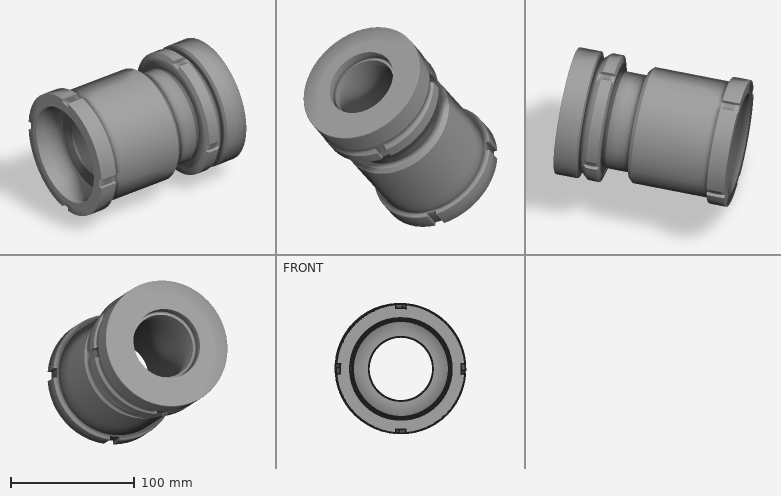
import cadquery as cq
import math

rim_radius = 52.5
thread_radius = 40.2
bore_radius = 26.0

flange_length = 15.0
flange_chamfer = 0.7
sleeve_radius = 48.0
sleeve_length = 82.0
sleeve_chamfer = 3.2
mouth_radius = 41.5
mouth_depth = 57.4

shank_start = 24.4
shank_end = 103.2
shank_chamfer = 1.3
groove_radius = 38.7
head_start = 104.7
head_face_radius = 48.0
head_bevel_length = 1.5
recess_radius = 46.0
recess_depth = 0.9
sphere_radius = 67.9
sphere_center = 72.5
sphere_edge = sphere_center + math.sqrt(sphere_radius**2 - rim_radius**2)
sphere_end = sphere_center + math.sqrt(sphere_radius**2 - bore_radius**2)

slot_count = 4
slot_width = 8.0
slot_depth = 3.3
head_turn = 6.0

washer_start = 123.1
washer_end = 142.9
washer_chamfer = 0.5
washer_bevel_width = 3.2
washer_bevel_length = 1.1
washer_bore_radius = 28.7
washer_tilt_x = 0.4
washer_tilt_z = 0.6


def revolve_about_y(profile):
    """Turn a closed half profile, given in X (radius) and Y, round the Y axis."""
    return profile.close().revolve(360, (0, 0, 0), (0, 1, 0))


def make_slots(start, end, turn):
    """Radial slot cutters around the rim, running from start to end along Y."""
    slots = cq.Workplane("XY")
    for index in range(slot_count):
        slot = (
            cq.Workplane("XY")
            .box(slot_width, end - start, 2 * slot_depth)
            .translate((0, (start + end) / 2, rim_radius))
            .rotate((0, 0, 0), (0, 1, 0), turn + index * 360 / slot_count)
        )
        slots = slots.add(slot)
    return slots.combine()


def make_sleeve():
    outline = [
        (mouth_radius, 0),
        (rim_radius, 0),
        (rim_radius, flange_length - flange_chamfer),
        (rim_radius - flange_chamfer, flange_length),
        (sleeve_radius, flange_length),
        (sleeve_radius, sleeve_length - sleeve_chamfer),
        (sleeve_radius - sleeve_chamfer, sleeve_length),
        (thread_radius, sleeve_length),
        (thread_radius, mouth_depth),
        (mouth_radius, mouth_depth),
    ]
    body = revolve_about_y(cq.Workplane("XY").polyline(outline))
    return body.cut(make_slots(0, flange_length, 0))


def make_spindle():
    mid_radius = (rim_radius + bore_radius) / 2
    mid_y = sphere_center + math.sqrt(sphere_radius**2 - mid_radius**2)
    outline = [
        (bore_radius, shank_start),
        (thread_radius - shank_chamfer, shank_start),
        (thread_radius, shank_start + shank_chamfer),
        (thread_radius, shank_end - shank_chamfer),
        (groove_radius, shank_end),
        (groove_radius, head_start + recess_depth),
        (recess_radius, head_start + recess_depth),
        (recess_radius, head_start),
        (head_face_radius, head_start),
        (rim_radius, head_start + head_bevel_length),
        (rim_radius, sphere_edge),
    ]
    profile = (
        cq.Workplane("XY")
        .polyline(outline)
        .threePointArc((mid_radius, mid_y), (bore_radius, sphere_end))
    )
    return revolve_about_y(profile).cut(make_slots(head_start, washer_start, head_turn))


def make_washer():
    outline = [
        (washer_bore_radius, washer_start),
        (rim_radius - washer_bevel_width, washer_start),
        (rim_radius, washer_start + washer_bevel_length),
        (rim_radius, washer_end - washer_chamfer),
        (rim_radius - washer_chamfer, washer_end),
        (washer_bore_radius, washer_end),
    ]
    seat_center = (0, sphere_center, 0)
    seat = cq.Workplane("XY").sphere(sphere_radius).translate(seat_center)
    ring = revolve_about_y(cq.Workplane("XY").polyline(outline)).cut(seat)
    return (
        ring
        .rotate(seat_center, (1, sphere_center, 0), washer_tilt_x)
        .rotate(seat_center, (0, sphere_center, 1), washer_tilt_z)
    )


sleeve = make_sleeve()
spindle = make_spindle()
washer = make_washer()
result = cq.Compound.makeCompound([sleeve.val(), spindle.val(), washer.val()])